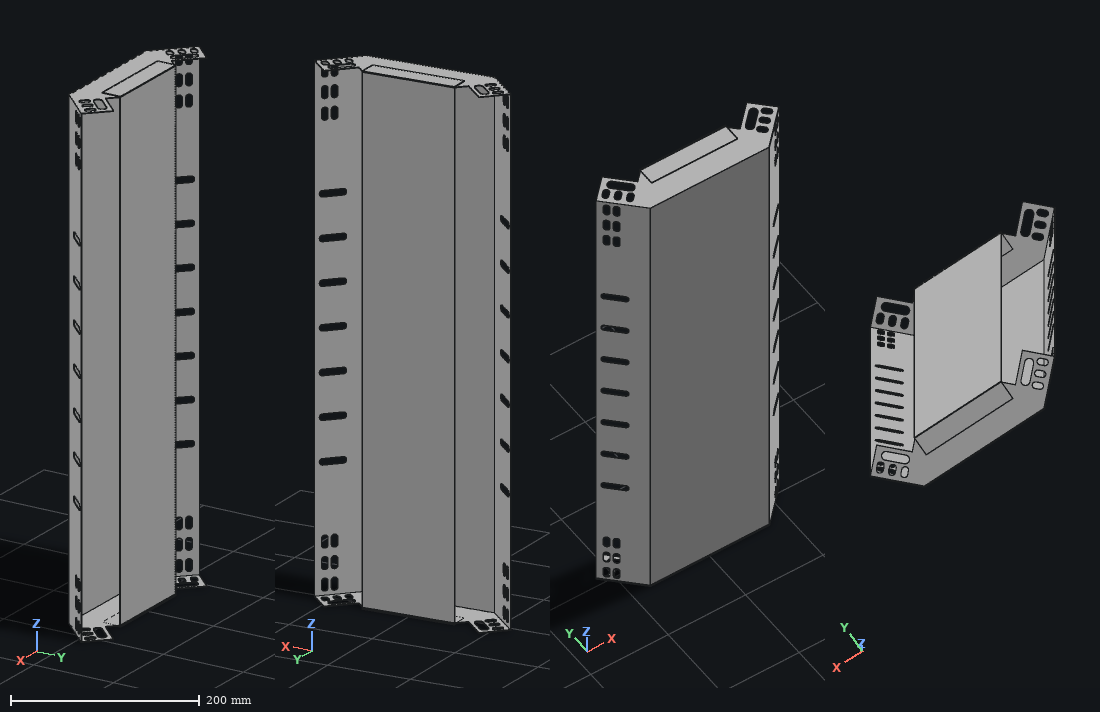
import cadquery as cq
import math

total_height = 603.5
sheet = 0.95
tray_width = 237.0
base_width = 154.0
tab_depth = 35.5
tab_width = 38.5
flange_depth = 50.5
cover_width = 111.0
cover_lip_depth = 23.0

slot_width = 7.0
long_slot_length = 30.0
long_slot_pitch = 50.0
long_slot_count = 7
long_slot_from_tip = 20.5

end_slot_length = 14.5
end_slot_pitch = 24.0
end_slot_rows = 3
end_slot_from_edge = 12.5
end_slots_from_tip = (11.5, 22.5)

tab_slot_length = 12.0
tab_slot_inset = 12.0
tab_slots_from_tip = (8.5, 22.0, 35.0)
tab_long_slot_width = 9.5
tab_long_slot_inset = 26.0
tab_long_slot_from_tip = 22.5

tray_height = total_height - 2 * sheet
mid_height = tray_height / 2
wing_angle = math.radians(45)
diagonal = math.sin(wing_angle)
tray_half_width = tray_width / 2
base_half_width = base_width / 2
wing_rise = tray_half_width - base_half_width
cut_reach = 2 * sheet


def wing_point(from_tip, inset):
    """(x, y) on the +X wing, along it from its tip and square to its outer face."""
    x = tray_half_width - (from_tip + inset) * diagonal
    y = wing_rise + (inset - from_tip) * diagonal
    return x, y


def mirrored_outline(half):
    """Close a right-hand run of points with its mirror image across X = 0."""
    return half + [(-x, y) for x, y in reversed(half)]


def make_folded_sheet():
    """Flat base with a wing bent up along each long side."""
    inner_bend_x = base_half_width - sheet * math.tan(wing_angle / 2)
    half = [
        (inner_bend_x, sheet),
        wing_point(0, sheet),
        wing_point(0, 0),
        (base_half_width, 0),
    ]
    return cq.Workplane("XY").polyline(mirrored_outline(half)).close().extrude(tray_height)


def make_end_flange(bottom):
    """End plate across the fold, with a square tab behind each wing."""
    notch_x, notch_y = wing_point(tab_width, tab_depth)
    half = [
        (notch_x - (flange_depth - notch_y), flange_depth),
        (notch_x, notch_y),
        wing_point(0, tab_depth),
        wing_point(0, 0),
        (base_half_width, 0),
    ]
    return (
        cq.Workplane("XY", origin=(0, 0, bottom))
        .polyline(mirrored_outline(half))
        .close()
        .extrude(sheet)
    )


def wing_plane(from_tip, inset, z, normal):
    """Workplane on the +X wing whose local X runs along the wing."""
    x, y = wing_point(from_tip, inset)
    along_wing = cq.Vector(-diagonal, -diagonal, 0)
    return cq.Workplane(cq.Plane(origin=(x, y, z), xDir=along_wing, normal=normal))


def wing_slot(from_tip, z, length, angle):
    """Cutter through the +X wing sheet; angle 0 runs along the wing, 90 along Z."""
    plane = wing_plane(from_tip, 0, z, (-diagonal, diagonal, 0))
    return plane.slot2D(length, slot_width, angle).extrude(cut_reach, both=True)


def tab_slot(from_tip, inset, length, width, angle):
    """Cutter through both tabs of the +X wing; angle 0 runs along the wing."""
    plane = wing_plane(from_tip, inset, mid_height, (0, 0, 1))
    return plane.slot2D(length, width, angle).extrude(tray_height, both=True)


def wing_cutters():
    cutters = []
    middle_index = (long_slot_count - 1) / 2
    for index in range(long_slot_count):
        z = mid_height + (index - middle_index) * long_slot_pitch
        cutters.append(wing_slot(long_slot_from_tip, z, long_slot_length, 0))
    for row in range(end_slot_rows):
        from_end = end_slot_from_edge + row * end_slot_pitch
        for z in (from_end, tray_height - from_end):
            for from_tip in end_slots_from_tip:
                cutters.append(wing_slot(from_tip, z, end_slot_length, 90))
    return cutters


def tab_cutters():
    cutters = [
        tab_slot(from_tip, tab_slot_inset, tab_slot_length, slot_width, 90)
        for from_tip in tab_slots_from_tip
    ]
    cutters.append(
        tab_slot(tab_long_slot_from_tip, tab_long_slot_inset, long_slot_length, tab_long_slot_width, 0)
    )
    return cutters


def make_tray():
    tray = make_folded_sheet()
    for bottom in (0, tray_height - sheet):
        tray = tray.union(make_end_flange(bottom))
    for cutter in wing_cutters() + tab_cutters():
        tray = tray.cut(cutter).cut(cutter.mirror("YZ"))
    return tray


def make_cover():
    """C-shaped sheet closing the back, its lips lying over the end flanges."""
    back = flange_depth + sheet
    lip_edge = back - cover_lip_depth
    profile = [
        (lip_edge, -sheet),
        (back, -sheet),
        (back, tray_height + sheet),
        (lip_edge, tray_height + sheet),
        (lip_edge, tray_height),
        (flange_depth, tray_height),
        (flange_depth, 0),
        (lip_edge, 0),
    ]
    return cq.Workplane("YZ").polyline(profile).close().extrude(cover_width / 2, both=True)


tray = make_tray()
cover = make_cover()
result = cq.Compound.makeCompound([tray.val(), cover.val()])